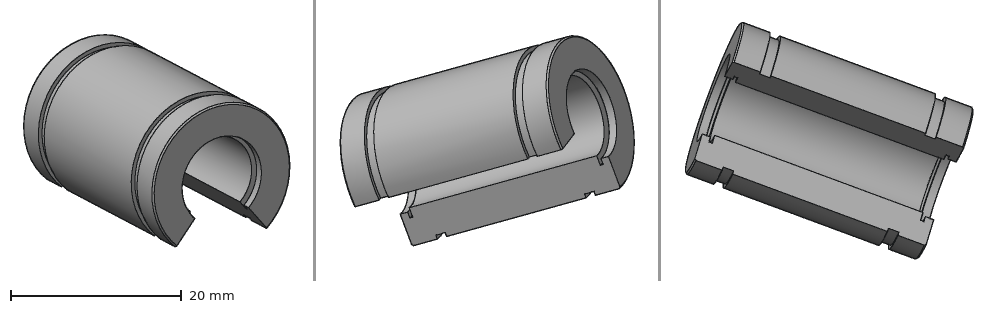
import cadquery as cq
import math

length = 29.0
outer_diameter = 19.0
bore_diameter = 10.0
end_chamfer = 0.2

groove_diameter = 18.0
groove_width = 1.3
groove_span = 22.0

recess_diameter = 10.9
recess_depth = 1.05

inner_groove_diameter = 12.4
inner_groove_width = 0.4

slot_width_at_bore = 6.8
slot_angle = 80.0


def x_cylinder(diameter, x_start, x_length):
    """Solid cylinder on the X axis, starting at x_start."""
    return cq.Workplane("YZ", origin=(x_start, 0, 0)).circle(diameter / 2).extrude(x_length)


def end_pair(span, width):
    """Start positions of two mirrored features whose outer faces are span apart."""
    return (-span / 2, span / 2 - width)


def make_sleeve():
    """Outer cylinder with chamfered end rims."""
    return x_cylinder(outer_diameter, -length / 2, length).edges("%CIRCLE").chamfer(end_chamfer)


def make_groove(x_start):
    """Ring of material removed by one retaining ring groove."""
    ring = x_cylinder(outer_diameter, x_start, groove_width)
    return ring.cut(x_cylinder(groove_diameter, x_start, groove_width))


def make_slot():
    """Trapezoidal prism that opens the sleeve downwards along its full length."""
    top_half_width = slot_width_at_bore / 2
    top_z = -math.sqrt((bore_diameter / 2) ** 2 - top_half_width**2)
    bottom_z = -outer_diameter / 2
    flare = (top_z - bottom_z) * math.tan(math.radians(slot_angle / 2))
    bottom_half_width = top_half_width + flare
    profile = [
        (-top_half_width, top_z),
        (top_half_width, top_z),
        (bottom_half_width, bottom_z),
        (-bottom_half_width, bottom_z),
    ]
    return cq.Workplane("YZ", origin=(-length / 2, 0, 0)).polyline(profile).close().extrude(length)


sleeve = make_sleeve()
sleeve = sleeve.cut(x_cylinder(bore_diameter, -length / 2, length))

for recess_start in end_pair(length, recess_depth):
    sleeve = sleeve.cut(x_cylinder(recess_diameter, recess_start, recess_depth))

for groove_start in end_pair(length - 2 * recess_depth, inner_groove_width):
    sleeve = sleeve.cut(x_cylinder(inner_groove_diameter, groove_start, inner_groove_width))

for groove_start in end_pair(groove_span, groove_width):
    sleeve = sleeve.cut(make_groove(groove_start))

result = sleeve.cut(make_slot())